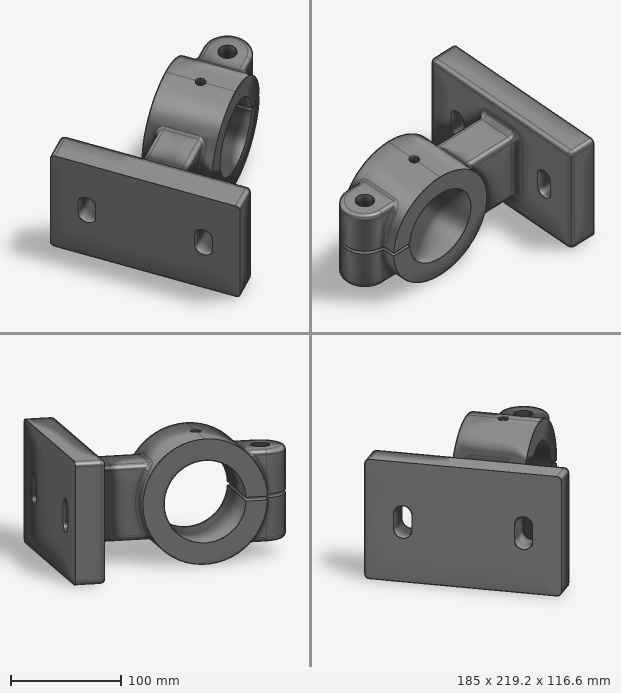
import cadquery as cq

PLATE_WIDTH = 185.0
PLATE_HEIGHT = 114.9
PLATE_THICKNESS = 28.5
PLATE_CORNER_RADIUS = 4.5
PLATE_EDGE_RADIUS = 4.4

SLOT_SPACING = 113.5
SLOT_WIDTH = 17.0
SLOT_LENGTH = 31.3

RING_DIAMETER = 116.6
BORE_DIAMETER = 76.7
RING_WIDTH = 68.2
RING_CENTER_Y = 136.8

ARM_WIDTH = 43.2
ARM_HEIGHT = 70.8
ARM_EDGE_RADIUS = 4.8
ARM_PLATE_FILLET = 7.0

OVERALL_LENGTH = 219.2
LUG_WIDTH = 45.8
LUG_HEIGHT = 85.5
LUG_OFFSET_X = 2.6
LUG_EDGE_RADIUS = 4.4
BOLT_HOLE_DIAMETER = 17.0
CLAMP_GAP = 3.5

RING_FILLET = 4.0

TOP_HOLE_DIAMETER = 7.5
TOP_HOLE_MOUTH_DIAMETER = 9.6

SELECTION_MARGIN = 0.2

lug_radius = LUG_WIDTH / 2
lug_center_y = OVERALL_LENGTH - lug_radius
ring_radius = RING_DIAMETER / 2
ring_front_y = RING_CENTER_Y - ring_radius - SELECTION_MARGIN
ring_back_y = RING_CENTER_Y + ring_radius + SELECTION_MARGIN
arm_end_y = RING_CENTER_Y - BORE_DIAMETER / 2


def box_along_y(width, height, start_y, end_y):
    """Box centred on X = 0 and Z = 0 that spans the given stretch of Y."""
    center_y = (start_y + end_y) / 2
    return cq.Workplane("XY").box(width, end_y - start_y, height).translate((0, center_y, 0))


def cylinder_along_x(diameter, length):
    """Cylinder about the ring axis, centred on X = 0, with its seam at the top."""
    return (
        cq.Workplane("YZ")
        .circle(diameter / 2)
        .extrude(length)
        .rotate((0, 0, 0), (1, 0, 0), 90)
        .translate((-length / 2, RING_CENTER_Y, 0))
    )


def make_plate():
    plate = box_along_y(PLATE_WIDTH, PLATE_HEIGHT, 0, PLATE_THICKNESS)
    plate = plate.edges("|Y").fillet(PLATE_CORNER_RADIUS)
    return plate.faces(">Y").edges().fillet(PLATE_EDGE_RADIUS)


def make_arm():
    arm = box_along_y(ARM_WIDTH, ARM_HEIGHT, PLATE_THICKNESS / 2, arm_end_y)
    return arm.edges("|Y").fillet(ARM_EDGE_RADIUS)


def make_lug():
    """Lug that reaches back into the ring, with its top and bottom outlines rounded."""
    straight_length = lug_center_y - RING_CENTER_Y
    lug = (
        cq.Workplane("XY", origin=(LUG_OFFSET_X, RING_CENTER_Y, -LUG_HEIGHT / 2))
        .moveTo(-lug_radius, 0)
        .lineTo(-lug_radius, straight_length)
        .threePointArc((0, straight_length + lug_radius), (lug_radius, straight_length))
        .lineTo(lug_radius, 0)
        .close()
        .extrude(LUG_HEIGHT)
    )
    return lug.faces("|Z").edges("not <Y").fillet(LUG_EDGE_RADIUS)


def edges_inside(body, half_width, half_height, start_y, end_y):
    """Edges that lie wholly in a box centred on X = 0 and Z = 0, over the given stretch of Y."""
    window = cq.selectors.BoxSelector(
        (-half_width, start_y, -half_height), (half_width, end_y, half_height), boundingbox=True
    )
    return body.edges(window)


def join_to_ring(body, branch, start_y, end_y):
    """Add a branch and round the edges where it meets the ring within the given stretch of Y."""
    joined = body.union(branch)
    half_width = RING_WIDTH / 2 - RING_FILLET
    return edges_inside(joined, half_width, ring_radius, start_y, end_y).fillet(RING_FILLET)


def join_to_plate(body):
    """Add the plate and round the edges where the arm meets its inner face."""
    joined = body.union(make_plate())
    root_edges = edges_inside(
        joined,
        ARM_WIDTH / 2 + SELECTION_MARGIN,
        ARM_HEIGHT / 2 + SELECTION_MARGIN,
        PLATE_THICKNESS - SELECTION_MARGIN,
        PLATE_THICKNESS + SELECTION_MARGIN,
    )
    return root_edges.fillet(ARM_PLATE_FILLET)


def make_slots():
    return (
        cq.Workplane("XZ")
        .pushPoints([(-SLOT_SPACING / 2, 0), (SLOT_SPACING / 2, 0)])
        .slot2D(SLOT_LENGTH, SLOT_WIDTH, 90)
        .extrude(-PLATE_THICKNESS)
    )


def make_bolt_hole():
    return (
        cq.Workplane("XY", origin=(LUG_OFFSET_X, lug_center_y, -LUG_HEIGHT / 2))
        .circle(BOLT_HOLE_DIAMETER / 2)
        .extrude(LUG_HEIGHT)
    )


def make_top_hole():
    """Radial hole from the bore to the top of the ring, with a 45 degree countersink."""
    hole_radius = TOP_HOLE_DIAMETER / 2
    mouth_radius = TOP_HOLE_MOUTH_DIAMETER / 2
    cone_bottom = ring_radius - (mouth_radius - hole_radius)
    return (
        cq.Workplane("XZ", origin=(0, RING_CENTER_Y, 0))
        .polyline(
            [
                (0, 0),
                (hole_radius, 0),
                (hole_radius, cone_bottom),
                (mouth_radius, ring_radius),
                (0, ring_radius),
            ]
        )
        .close()
        .revolve(360, (0, 0, 0), (0, 1, 0))
    )


body = cylinder_along_x(RING_DIAMETER, RING_WIDTH)
body = join_to_ring(body, make_lug(), RING_CENTER_Y + SELECTION_MARGIN, ring_back_y)
body = join_to_ring(body, make_arm(), ring_front_y, RING_CENTER_Y - SELECTION_MARGIN)
body = join_to_plate(body)

body = body.cut(make_slots())
body = body.cut(cylinder_along_x(BORE_DIAMETER, RING_WIDTH))
body = body.cut(box_along_y(RING_WIDTH, CLAMP_GAP, RING_CENTER_Y, OVERALL_LENGTH))
body = body.cut(make_bolt_hole())
body = body.cut(make_top_hole())

result = body